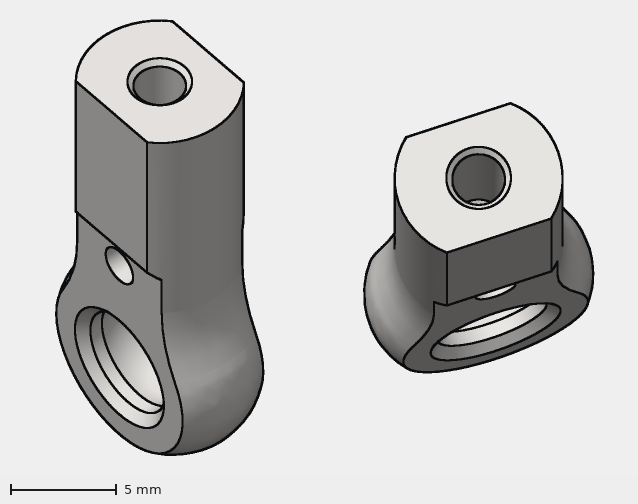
import cadquery as cq
import math

overall_length = 23.5
eye_radius = 5.5
rim_radius = 3.97
neck_radius = 8.0
shank_thickness = 6.0
eye_thickness = 5.0
flat_length = 9.0
cross_hole_diameter = 2.0
cross_hole_depth = 10.97
bore_diameter = 5.45
bore_chamfer = 0.52
seat_radius = 3.0
rod_hole_diameter = 2.5
rod_hole_length = 7.99
rod_hole_chamfer = 0.28
drill_point_angle = 118.0

top_z = overall_length - eye_radius
half_eye = eye_thickness / 2
half_shank = shank_thickness / 2
face_inset = rim_radius - math.sqrt(rim_radius**2 - half_eye**2)
neck_center_x = rim_radius + neck_radius
neck_center_z = math.sqrt((eye_radius + neck_radius)**2 - neck_center_x**2)
bore_radius = bore_diameter / 2


def make_shank():
    """Round shank with two flats that slope in to the thinner eye end."""
    shank = (
        cq.Workplane("XY").workplane(offset=neck_center_z)
        .circle(rim_radius).extrude(top_z - neck_center_z)
    )
    flat_end_z = top_z - flat_length
    slope_end_z = flat_end_z - (half_shank - half_eye)
    side_outline = (
        cq.Workplane("YZ")
        .polyline([
            (-half_eye, neck_center_z), (half_eye, neck_center_z),
            (half_eye, slope_end_z), (half_shank, flat_end_z), (half_shank, top_z),
            (-half_shank, top_z), (-half_shank, flat_end_z), (-half_eye, slope_end_z),
        ])
        .close().extrude(rim_radius, both=True)
    )
    return shank.intersect(side_outline)


def disc_with_curved_rim(mid_radius, face_radius):
    """Disc around the Y axis whose rim is an arc through the given radii."""
    return (
        cq.Workplane("XY")
        .moveTo(0, -half_eye).lineTo(face_radius, -half_eye)
        .threePointArc((mid_radius, 0), (face_radius, half_eye))
        .lineTo(0, half_eye).close()
        .revolve(360, (0, 0, 0), (0, 1, 0))
    )


def make_neck():
    """Web between the arc centres, hollowed by a concave blend on each side."""
    neck = (
        cq.Workplane("XZ")
        .polyline([(0, 0), (neck_center_x, neck_center_z), (-neck_center_x, neck_center_z)])
        .close().extrude(half_eye, both=True)
    )
    blend = disc_with_curved_rim(neck_radius, neck_radius + face_inset)
    for side in (-1, 1):
        neck = neck.cut(blend.translate((side * neck_center_x, 0, neck_center_z)))
    return neck


def make_ball_bore():
    """Through bore with a chamfer at each mouth and a spherical seat inside."""
    mouth_radius = bore_radius + bore_chamfer
    chamfer_end = half_eye - bore_chamfer
    seat_end = math.sqrt(seat_radius**2 - bore_radius**2)
    return (
        cq.Workplane("XY")
        .moveTo(0, -half_eye).lineTo(mouth_radius, -half_eye)
        .lineTo(bore_radius, -chamfer_end).lineTo(bore_radius, -seat_end)
        .threePointArc((seat_radius, 0), (bore_radius, seat_end))
        .lineTo(bore_radius, chamfer_end).lineTo(mouth_radius, half_eye)
        .lineTo(0, half_eye).close()
        .revolve(360, (0, 0, 0), (0, 1, 0))
    )


def make_rod_hole():
    """Blind hole in the shank end with a chamfered mouth and a drill point."""
    radius = rod_hole_diameter / 2
    straight_end_z = top_z - rod_hole_length
    tip_z = straight_end_z - radius / math.tan(math.radians(drill_point_angle / 2))
    return (
        cq.Workplane("XZ")
        .polyline([
            (0, top_z), (radius + rod_hole_chamfer, top_z),
            (radius, top_z - rod_hole_chamfer), (radius, straight_end_z), (0, tip_z),
        ])
        .close().revolve(360, (0, 0, 0), (0, 1, 0))
    )


def make_cross_hole():
    """Small hole through the neck along Y."""
    return (
        cq.Workplane("XZ").center(0, top_z - cross_hole_depth)
        .circle(cross_hole_diameter / 2).extrude(shank_thickness, both=True)
    )


eye = disc_with_curved_rim(eye_radius, eye_radius - face_inset)
body = eye.union(make_neck()).union(make_shank()).clean()
result = body.cut(make_ball_bore()).cut(make_rod_hole()).cut(make_cross_hole())